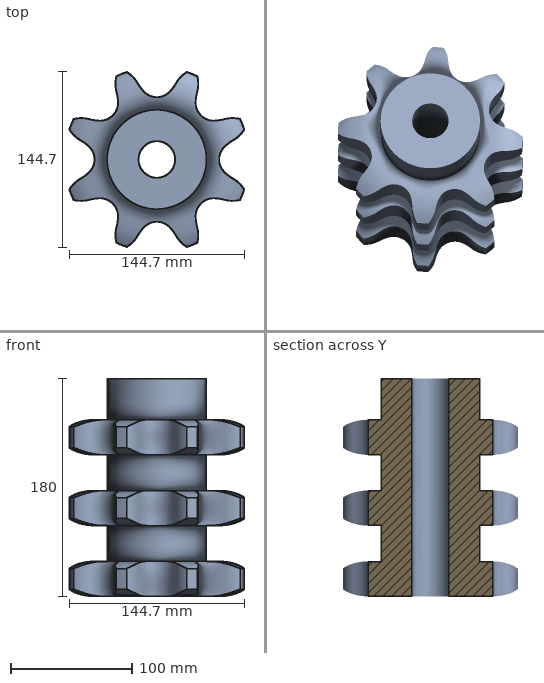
import cadquery as cq
import math

TOOTH_COUNT = 8
STRAND_COUNT = 3
STRAND_PITCH = 58.5
DISC_THICKNESS = 29.0
TOTAL_LENGTH = 180.0
HUB_DIAMETER = 82.0
BORE_DIAMETER = 30.0

CHAIN_PITCH = 50.8
ROLLER_DIAMETER = 29.2
SEAT_RADIUS = 14.8
PITCH_RADIUS = CHAIN_PITCH / (2 * math.sin(math.pi / TOOTH_COUNT))

OUTSIDE_RADIUS = 76.5
FLAT_RADIUS = 52.2
TIP_SETBACK = 6.0

SEAT_ANGLE = 35 + 60 / TOOTH_COUNT
WORKING_ANGLE = 18 - 56 / TOOTH_COUNT
TOPPING_ANGLE = 17 - 64 / TOOTH_COUNT
WORKING_OFFSET = 0.8 * ROLLER_DIAMETER
TOPPING_OFFSET = 1.4 * ROLLER_DIAMETER
WORKING_RADIUS = SEAT_RADIUS + WORKING_OFFSET


def sin_deg(angle):
    return math.sin(math.radians(angle))


def cos_deg(angle):
    return math.cos(math.radians(angle))


FLAT_LENGTH = TOPPING_OFFSET * sin_deg(TOPPING_ANGLE) - WORKING_OFFSET * sin_deg(WORKING_ANGLE)
TOPPING_RADIUS = (
    WORKING_OFFSET * cos_deg(WORKING_ANGLE) + TOPPING_OFFSET * cos_deg(TOPPING_ANGLE) - WORKING_RADIUS
)


def step(point, distance, angle):
    """Return the point at a distance from another, in the direction of an angle in degrees."""
    return (point[0] + distance * cos_deg(angle), point[1] + distance * sin_deg(angle))


def mirrored(point):
    return (-point[0], point[1])


def tooth_gap():
    """Cutter for one gap, centred on +Y and spanning the disc thickness."""
    roller_center = (0, PITCH_RADIUS)
    seat_bottom = (0, PITCH_RADIUS - SEAT_RADIUS)
    seat_end = step(roller_center, SEAT_RADIUS, -SEAT_ANGLE)

    working_center = step(roller_center, WORKING_OFFSET, 180 - SEAT_ANGLE)
    normal_angle = WORKING_ANGLE - SEAT_ANGLE
    working_mid = step(working_center, WORKING_RADIUS, WORKING_ANGLE / 2 - SEAT_ANGLE)
    working_end = step(working_center, WORKING_RADIUS, normal_angle)

    flat_end = step(working_end, FLAT_LENGTH, normal_angle + 90)
    topping_center = step(flat_end, TOPPING_RADIUS, normal_angle)
    center_distance = math.hypot(*topping_center)
    cos_to_axis = (center_distance**2 + TOPPING_RADIUS**2 - OUTSIDE_RADIUS**2) / (
        2 * center_distance * TOPPING_RADIUS
    )
    inward_angle = math.degrees(math.atan2(-topping_center[1], -topping_center[0])) + 360
    tip_angle = inward_angle - math.degrees(math.acos(cos_to_axis))
    topping_mid = step(topping_center, TOPPING_RADIUS, (normal_angle + 180 + tip_angle) / 2)
    tip = step(topping_center, TOPPING_RADIUS, tip_angle)
    outer_corner = (tip[0], OUTSIDE_RADIUS)

    return (
        cq.Workplane("XY")
        .moveTo(*mirrored(seat_end))
        .threePointArc(seat_bottom, seat_end)
        .threePointArc(working_mid, working_end)
        .lineTo(*flat_end)
        .threePointArc(topping_mid, tip)
        .lineTo(*outer_corner)
        .lineTo(*mirrored(outer_corner))
        .lineTo(*mirrored(tip))
        .threePointArc(mirrored(topping_mid), mirrored(flat_end))
        .lineTo(*mirrored(working_end))
        .threePointArc(mirrored(working_mid), mirrored(seat_end))
        .close()
        .extrude(DISC_THICKNESS)
    )


def disc_blank():
    """Turned disc whose rounded sides meet the flat faces tangentially."""
    rounded_width = OUTSIDE_RADIUS - FLAT_RADIUS
    side_radius = (rounded_width**2 + TIP_SETBACK**2) / (2 * TIP_SETBACK)
    half_sweep = math.degrees(math.asin(rounded_width / side_radius)) / 2
    mid_radius = FLAT_RADIUS + side_radius * sin_deg(half_sweep)
    mid_setback = side_radius * (1 - cos_deg(half_sweep))
    return (
        cq.Workplane("XZ")
        .lineTo(FLAT_RADIUS, 0)
        .threePointArc((mid_radius, mid_setback), (OUTSIDE_RADIUS, TIP_SETBACK))
        .lineTo(OUTSIDE_RADIUS, DISC_THICKNESS - TIP_SETBACK)
        .threePointArc((mid_radius, DISC_THICKNESS - mid_setback), (FLAT_RADIUS, DISC_THICKNESS))
        .lineTo(0, DISC_THICKNESS)
        .close()
        .revolve(360, (0, 0, 0), (0, 1, 0))
    )


def toothed_disc():
    disc = disc_blank()
    gap = tooth_gap()
    for index in range(TOOTH_COUNT):
        disc = disc.cut(gap.rotate((0, 0, 0), (0, 0, 1), index * 360 / TOOTH_COUNT))
    return disc


result = cq.Workplane("XY").circle(HUB_DIAMETER / 2).extrude(TOTAL_LENGTH)

strand = toothed_disc()
for index in range(STRAND_COUNT):
    result = result.union(strand.translate((0, 0, index * STRAND_PITCH)))

result = result.cut(cq.Workplane("XY").circle(BORE_DIAMETER / 2).extrude(TOTAL_LENGTH))